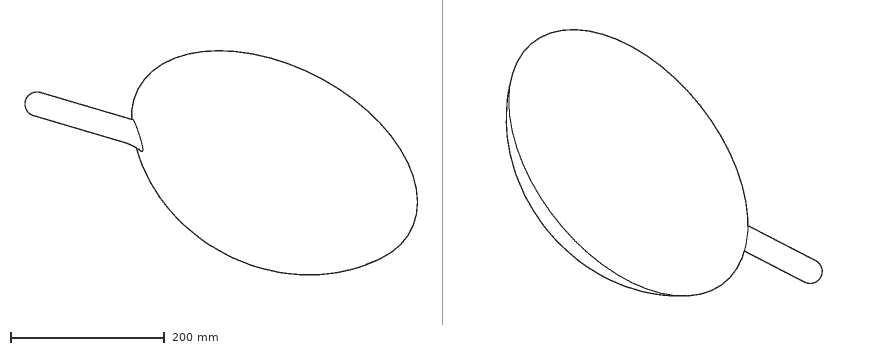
import cadquery as cq
import math

overall_length = 538.0
rim_diameter = 400.0
bowl_depth = 97.0
base_radius = 40.0
handle_diameter = 32.0
handle_drop = 23.0
tip_to_flare = 142.0
flare_arc_radius = 72.0
flare_length = 33.5

rim_radius = rim_diameter / 2
handle_radius = handle_diameter / 2
tip_x = rim_radius - overall_length


def make_bowl():
    """Solid bowl: the side is an arc tangent to the flat base."""
    arc_width = rim_radius - base_radius
    arc_radius = (arc_width**2 + bowl_depth**2) / (2 * bowl_depth)
    half_angle = math.atan2(bowl_depth, arc_width)
    arc_middle = (
        base_radius + arc_radius * math.sin(half_angle),
        -bowl_depth + arc_radius * (1 - math.cos(half_angle)),
    )
    return (
        cq.Workplane("XY")
        .lineTo(rim_radius, 0)
        .threePointArc(arc_middle, (base_radius, -bowl_depth))
        .lineTo(0, -bowl_depth)
        .close()
        .revolve(360, (0, 0, 0), (0, 1, 0))
    )


def make_handle():
    """Round handle with a hemispherical tip and a root that flares into the bowl."""
    flare_start = tip_to_flare
    flare_end = flare_start + flare_length
    flare_angle = math.asin(flare_length / flare_arc_radius)
    flare_rise = flare_arc_radius * (1 - math.cos(flare_angle))
    flare_middle = (
        flare_start + flare_arc_radius * math.sin(flare_angle / 2),
        handle_radius + flare_arc_radius * (1 - math.cos(flare_angle / 2)),
    )
    tip_middle = (
        handle_radius * (1 - math.cos(math.pi / 4)),
        handle_radius * math.sin(math.pi / 4),
    )
    return (
        cq.Workplane("XY")
        .threePointArc(tip_middle, (handle_radius, handle_radius))
        .lineTo(flare_start, handle_radius)
        .threePointArc(flare_middle, (flare_end, handle_radius + flare_rise))
        .lineTo(flare_end, 0)
        .close()
        .revolve(360, (0, 0, 0), (1, 0, 0))
        .translate((tip_x, -handle_drop, 0))
    )


def trim_above_rim(body):
    """Remove anything that reaches past the rim plane."""
    cutter = cq.Workplane("XY").box(
        2 * overall_length, overall_length, overall_length, centered=(True, False, True)
    )
    return body.cut(cutter)


result = make_bowl().union(trim_above_rim(make_handle()))